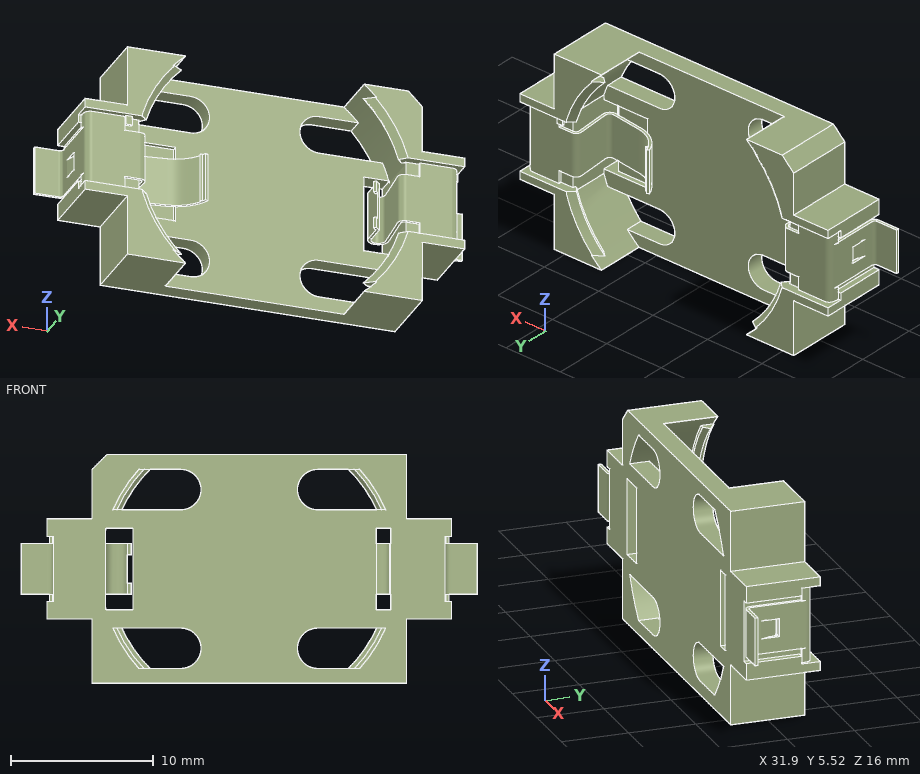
import cadquery as cq
import math


LEFT = -1
RIGHT = 1

body_length = 22.0
body_width = 16.0
depth = 5.52
floor_thickness = 1.47
corner_chamfer = 1.05
gap_half_length = 6.67
cavity_radius = 10.4

ear_reach = 14.15
ear_width = 7.02
channel_width = 5.68
leg_slot_width = 4.53
leg_slot_wall = 13.7
shoulder_recess_bottom = 4.15

slot_width = 2.8
slot_offset = 5.55
slot_round_centre = 4.8
left_window = (8.15, 10.05)
right_window = (8.9, 9.9)
relief_start = 5.9
relief_bottom = 1.05

lip_radius = 9.83
lip_ledge_radius = 10.15
lip_bottom = 4.6
lip_nose = 5.0
lip_root_radius = cavity_radius + 0.32
lip_half_width = 7.1

nib_width = 0.67
nib_height = 0.2
nib_start = 10.53

strip = 0.22
contact_reach = 15.95
contact_width = 3.57
shoulder_bottom = 4.2
shoulder_flare = 0.08
shoulder_start = body_length / 2
bend_radius = 0.38
strip_top = 5.0
top_level = strip_top - strip / 2
leg_line = leg_slot_wall + strip / 2
leg_face = leg_slot_wall + strip

barb_width = 1.35
barb_bottom = 1.2
barb_top = 2.42
barb_opening_top = 2.55
barb_lean = 0.32

u_radius = 0.65
u_middle = 9.28
u_centre_height = 1.3
u_lean = 5
fork_level = 2.87
fork_reach = 0.32
fork_gap_width = 1.98

tongue_leg_top = 9.45
tongue_root = (9.73, 1.1)
tongue_corner = (4.9, 1.72)
tongue_tip = (4.27, 3.32)
tongue_root_radius = 0.48
tongue_radius = 2.8
ridge_spot = (4.6, 3.05)
ridge_radius = 0.1


def block(side, start, end, bottom, top, width):
    """Box between two outward distances and two heights, centred on Z = 0."""
    middle = side * (start + end) / 2
    return (
        cq.Workplane("XY")
        .box(end - start, top - bottom, width)
        .translate((middle, (bottom + top) / 2, 0))
    )


def bent_path(points, radii):
    """Line through the points, with each inner corner rounded to its radius."""
    path = cq.Workplane("XY").moveTo(*points[0])
    for before, corner, after, radius in zip(points, points[1:], points[2:], radii):
        corner = cq.Vector(*corner)
        back = (cq.Vector(*before) - corner).normalized()
        ahead = (cq.Vector(*after) - corner).normalized()
        half_angle = back.getAngle(ahead) / 2
        tangent_length = radius / math.tan(half_angle)
        corner_to_arc = radius / math.sin(half_angle) - radius
        start = corner + back * tangent_length
        middle = corner + (back + ahead).normalized() * corner_to_arc
        end = corner + ahead * tangent_length
        path = path.lineTo(start.x, start.y)
        path = path.threePointArc((middle.x, middle.y), (end.x, end.y))
    return path.lineTo(*points[-1])


def contact_path(side, spring_points, spring_radii):
    """Centre line from the tail tip up the leg, over the top and along the spring points."""
    points = [
        (contact_reach, strip / 2),
        (leg_line, strip / 2),
        (leg_line, top_level),
        *spring_points,
    ]
    points = [(side * outward, height) for outward, height in points]
    return bent_path(points, [bend_radius] * 3 + spring_radii)


def side_plate(side, outline, width, z=0):
    """Plate with an outline of outward distances and heights, its width centred on z."""
    points = [(side * outward, height) for outward, height in outline]
    return cq.Workplane("XY", origin=(0, 0, z - width / 2)).polyline(points).close().extrude(width)


def make_shoulders(side):
    """Wide top on the ear, bent down at the end, with a flared wing on each side of the leg."""
    bend_end = top_level - bend_radius
    top_path = cq.Workplane("XY").moveTo(side * leg_line, bend_end)
    middle = leg_line - bend_radius + bend_radius * math.cos(math.pi / 4)
    middle_height = bend_end + bend_radius * math.sin(math.pi / 4)
    top_path = top_path.threePointArc(
        (side * middle, middle_height), (side * (leg_line - bend_radius), top_level)
    )
    top_path = top_path.lineTo(side * shoulder_start, top_level).wire()
    shoulders = (
        cq.Workplane("XZ", origin=(side * leg_line, bend_end, 0))
        .rect(strip, channel_width)
        .sweep(top_path)
    )
    wing_outline = [
        (leg_face - strip, bend_end),
        (leg_face, bend_end),
        (leg_face + shoulder_flare, shoulder_bottom),
        (leg_face + shoulder_flare - strip, shoulder_bottom),
    ]
    wing_width = (channel_width - contact_width) / 2
    wing_offset = (channel_width + contact_width) / 4
    for z in (-wing_offset, wing_offset):
        shoulders = shoulders.union(side_plate(side, wing_outline, wing_width, z))
    return shoulders


def make_contact(side, path):
    """Strip along the path, with shoulders on the ear and a barb cut from the leg."""
    contact = (
        cq.Workplane("YZ", origin=(side * contact_reach, strip / 2, 0))
        .rect(strip, contact_width)
        .sweep(path.wire())
    )
    opening = block(side, leg_slot_wall, leg_face, barb_bottom, barb_opening_top, barb_width)
    barb_outline = [
        (leg_slot_wall, barb_bottom),
        (leg_face, barb_bottom),
        (leg_face - barb_lean, barb_top),
        (leg_slot_wall - barb_lean, barb_top),
    ]
    barb = side_plate(side, barb_outline, barb_width)
    return contact.union(make_shoulders(side)).cut(opening).union(barb)


def make_left_contact():
    lean = math.radians(u_lean)
    foot = u_middle + u_radius * math.cos(lean)
    foot_height = u_centre_height + u_radius * math.sin(lean)
    leg_top = foot - (top_level - foot_height) * math.tan(lean)
    arm = u_middle - u_radius
    path = contact_path(LEFT, [(leg_top, top_level), (foot, foot_height)], [])
    path = (
        path.threePointArc((LEFT * u_middle, u_centre_height - u_radius), (LEFT * arm, u_centre_height))
        .lineTo(LEFT * arm, fork_level)
        .lineTo(LEFT * (arm - fork_reach), fork_level + fork_reach)
    )
    fork_gap = block(LEFT, 0, arm - strip / 2, 0, depth, fork_gap_width)
    return make_contact(LEFT, path).cut(fork_gap)


def make_right_contact():
    spring_points = [(tongue_leg_top, top_level), tongue_root, tongue_corner, tongue_tip]
    path = contact_path(RIGHT, spring_points, [tongue_root_radius, tongue_radius])
    ridge = (
        cq.Workplane("XY", origin=(*ridge_spot, -contact_width / 2))
        .circle(ridge_radius)
        .extrude(contact_width)
    )
    return make_contact(RIGHT, path).union(ridge)


def make_body():
    """Chamfered block with two ears, opened across the middle down to the floor."""
    body = block(RIGHT, -body_length / 2, body_length / 2, 0, depth, body_width)
    body = body.edges("|Y and <X and >Z").chamfer(corner_chamfer)
    body = body.union(block(RIGHT, -ear_reach, ear_reach, 0, depth, ear_width))
    gap = block(RIGHT, -gap_half_length, gap_half_length, floor_thickness, depth, body_width)
    return body.cut(gap)


def cylinder(radius, bottom, top):
    return cq.Workplane("XZ", origin=(0, bottom, 0)).circle(radius).extrude(bottom - top)


def make_cavity():
    """Round cell space with its two ends cut flat beside the contacts."""
    flat_ends = block(RIGHT, -left_window[1], right_window[1], floor_thickness, depth, body_width)
    return cylinder(cavity_radius, floor_thickness, depth).intersect(flat_ends)


def make_lips():
    """Ring with a sloped nose, kept only on the four post walls."""
    lead_in_radius = lip_radius + depth - lip_nose
    ring = (
        cq.Workplane("XY")
        .polyline([
            (lip_root_radius, lip_bottom),
            (lip_ledge_radius, lip_bottom),
            (lip_radius, lip_nose),
            (lead_in_radius, depth),
            (lip_root_radius, depth),
        ])
        .close()
        .revolve(360, (0, 0, 0), (0, 1, 0))
    )
    lips = ring.intersect(block(RIGHT, -ear_reach, ear_reach, 0, depth, 2 * lip_half_width))
    lips = lips.cut(block(RIGHT, -gap_half_length, gap_half_length, 0, depth, body_width))
    return lips.cut(block(RIGHT, -ear_reach, ear_reach, 0, depth, channel_width))


def make_floor_slots():
    """Four slots, rounded toward the middle and ended by the cavity wall."""
    slots = cq.Workplane("XY")
    for side in (LEFT, RIGHT):
        for z in (-slot_offset, slot_offset):
            straight = block(side, slot_round_centre, cavity_radius, 0, floor_thickness, slot_width)
            rounded = cylinder(slot_width / 2, 0, floor_thickness).translate((side * slot_round_centre, 0, 0))
            slots = slots.add(straight.union(rounded).translate((0, 0, z)))
    return slots.combine().intersect(cylinder(cavity_radius, 0, floor_thickness))


def cut_contact_seat(housing, side):
    """Channel over the ear, recesses down its end, and a pocket for the barb."""
    channel_floor = strip_top - strip
    housing = housing.cut(block(side, gap_half_length, ear_reach, channel_floor, depth, channel_width))
    recess = block(side, leg_slot_wall, ear_reach, shoulder_recess_bottom, depth, channel_width)
    leg_slot = block(side, leg_slot_wall, ear_reach, 0, depth, leg_slot_width)
    housing = housing.cut(recess).cut(leg_slot)
    corner = (side * leg_slot_wall, channel_floor, 0)
    housing = housing.edges(cq.NearestToPointSelector(corner)).fillet(bend_radius - strip / 2)
    pocket_end = leg_slot_wall - barb_lean
    barb_pocket = block(side, pocket_end, leg_slot_wall, barb_bottom, barb_opening_top, barb_width)
    return housing.cut(barb_pocket)


def make_housing():
    housing = make_body()
    housing = housing.cut(make_cavity()).union(make_lips())
    housing = housing.cut(make_floor_slots())
    for side, window in ((LEFT, left_window), (RIGHT, right_window)):
        housing = cut_contact_seat(housing, side)
        housing = housing.cut(block(side, *window, 0, floor_thickness, channel_width))
    relief = block(RIGHT, relief_start, right_window[0], relief_bottom, floor_thickness, channel_width)
    nib = block(RIGHT, nib_start, shoulder_start, strip_top, strip_top + nib_height, nib_width)
    nib = nib.translate((0, 0, (channel_width - nib_width) / 2))
    return housing.cut(relief).union(nib)


housing = make_housing()
left_contact = make_left_contact()
right_contact = make_right_contact()
result = cq.Compound.makeCompound([
    housing.solids().val(),
    left_contact.solids().val(),
    right_contact.solids().val(),
])